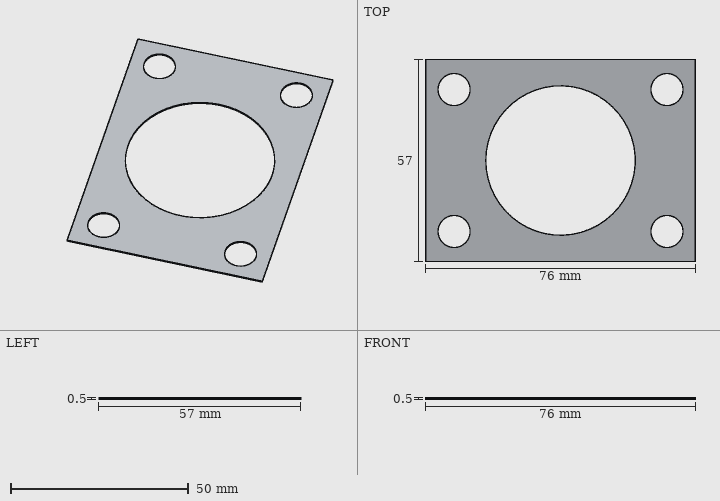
import cadquery as cq

length = 76.0
width = 57.0
thickness = 0.5

bore_diameter = 42.0

bolt_hole_diameter = 9.0
bolt_spacing_x = 60.0
bolt_spacing_y = 40.0

plate = cq.Workplane("XY").box(length, width, thickness)

plate_with_bore = plate.faces(">Z").workplane().hole(bore_diameter)

result = (
    plate_with_bore.faces(">Z")
    .workplane(origin=(0, 0, 0))
    .rarray(bolt_spacing_x, bolt_spacing_y, 2, 2)
    .hole(bolt_hole_diameter)
)